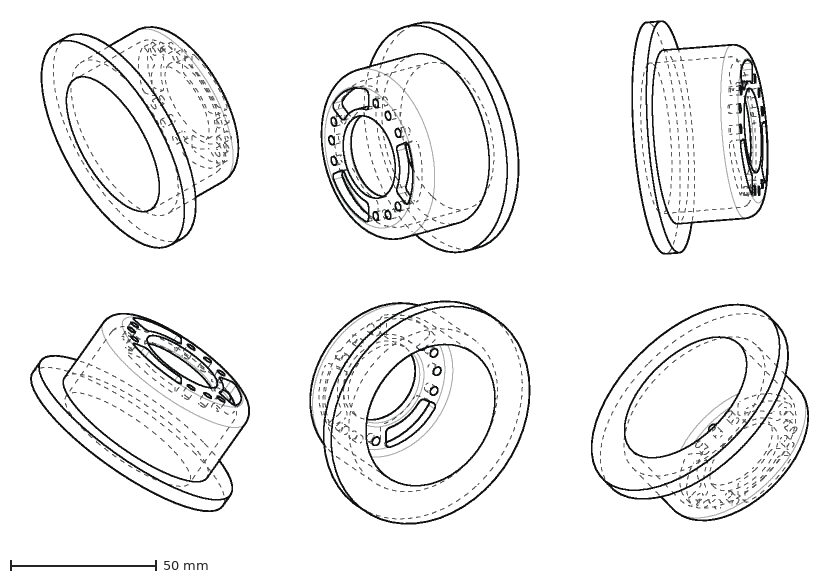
import cadquery as cq
import math

flange_diameter = 80.0
flange_thickness = 5.0
total_depth = 34.0
body_radius = 30.0
wall_thickness = 4.0
floor_thickness = 4.0
outer_round = 5.0
inner_round = 2.0

opening_diameter = 29.0
opening_round = 1.0

sector_count = 3
sector_angle = 360 / sector_count
slot_inner_radius = 17.0
slot_outer_radius = 24.3
slot_center_angle = 60.0
slot_half_angle = 30.0
slot_end_inset = 0.4
slot_corner_radius = 1.6
bolt_circle_diameter = 42.0
bolt_hole_diameter = 3.0
bolt_hole_spacing = 20.0

flange_radius = flange_diameter / 2
bore_radius = body_radius - wall_thickness
floor_y = total_depth - floor_thickness
opening_radius = opening_diameter / 2


def quarter_mid(center_x, center_y, radius, angle):
    """Point on a rounding arc at the given angle in degrees."""
    a = math.radians(angle)
    return (center_x + radius * math.cos(a), center_y + radius * math.sin(a))


def make_cup():
    """Revolve the radial section about the Y axis."""
    profile = (
        cq.Workplane("XY")
        .moveTo(bore_radius, 0)
        .lineTo(flange_radius, 0)
        .lineTo(flange_radius, flange_thickness)
        .lineTo(body_radius, flange_thickness)
        .lineTo(body_radius, total_depth - outer_round)
        .threePointArc(
            quarter_mid(body_radius - outer_round, total_depth - outer_round, outer_round, 45),
            (body_radius - outer_round, total_depth),
        )
        .lineTo(opening_radius, total_depth)
        .lineTo(opening_radius, floor_y + opening_round)
        .threePointArc(
            quarter_mid(opening_radius + opening_round, floor_y + opening_round, opening_round, 225),
            (opening_radius + opening_round, floor_y),
        )
        .lineTo(bore_radius - inner_round, floor_y)
        .threePointArc(
            quarter_mid(bore_radius - inner_round, floor_y - inner_round, inner_round, 45),
            (bore_radius, floor_y - inner_round),
        )
        .close()
    )
    return profile.revolve(360, (0, 0, 0), (0, 1, 0))


def make_slot():
    """Arc-shaped cutter centred on +X, with ends inset parallel to the radial lines."""
    half_angle = math.radians(slot_half_angle)

    def end_corner(radius, side):
        angle = side * (half_angle - math.asin(slot_end_inset / radius))
        return (radius * math.cos(angle), radius * math.sin(angle))

    return (
        cq.Workplane("XZ", origin=(0, floor_y - inner_round, 0))
        .moveTo(*end_corner(slot_inner_radius, -1))
        .lineTo(*end_corner(slot_outer_radius, -1))
        .threePointArc((slot_outer_radius, 0), end_corner(slot_outer_radius, 1))
        .lineTo(*end_corner(slot_inner_radius, 1))
        .threePointArc((slot_inner_radius, 0), end_corner(slot_inner_radius, -1))
        .close()
        .extrude(-(floor_thickness + inner_round))
        .edges("|Y")
        .fillet(slot_corner_radius)
    )


def make_bolt_hole():
    """Round cutter through the floor on the bolt circle at +X."""
    return (
        cq.Workplane("XZ", origin=(0, floor_y, 0))
        .center(bolt_circle_diameter / 2, 0)
        .circle(bolt_hole_diameter / 2)
        .extrude(-floor_thickness)
    )


def turned(cutter, angle):
    """Turn a cutter about the cup axis, from +X toward +Z."""
    return cutter.rotate((0, 0, 0), (0, -1, 0), angle)


result = make_cup()
slot = make_slot()
bolt_hole = make_bolt_hole()

for sector in range(sector_count):
    sector_start = sector * sector_angle
    result = result.cut(turned(slot, sector_start + slot_center_angle))
    for step in (-1, 0, 1):
        result = result.cut(turned(bolt_hole, sector_start + step * bolt_hole_spacing))